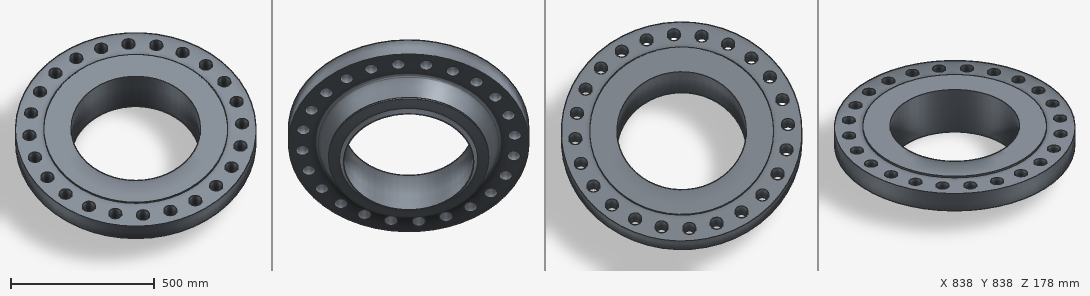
import cadquery as cq

total_height = 178.0
flange_diameter = 838.0
flange_thickness = 73.0
face_radius = 320.0
face_height = 7.0
bore_radius = 225.5

hole_count = 24
hole_diameter = 45.0
bolt_circle_radius = 371.0

hub_top_radius = 319.0
hub_root_fillet = 13.0
lip_radius = 279.0
lip_bottom = 19.0
lip_height = 7.5

bevel_radius = 240.5
bevel_height = 12.5
land_radius = 227.0

flange_top = total_height - face_height
flange_bottom = flange_top - flange_thickness


def revolve_about_z(points):
    """Revolve a closed (radius, height) outline around the Z axis."""
    outline = cq.Workplane("XZ").polyline(points).close()
    return outline.revolve(360, (0, 0, 0), (0, 1, 0))


body = revolve_about_z([
    (bore_radius, 0),
    (land_radius, 0),
    (bevel_radius, bevel_height),
    (lip_radius, lip_bottom),
    (lip_radius, lip_bottom + lip_height),
    (hub_top_radius, flange_bottom),
    (flange_diameter / 2, flange_bottom),
    (flange_diameter / 2, flange_top),
    (face_radius, flange_top),
    (face_radius, total_height),
    (bore_radius, total_height),
])

root_edge = body.edges("%CIRCLE").edges(cq.selectors.RadiusNthSelector(-3))
body = root_edge.fillet(hub_root_fillet)


bolt_holes = (
    cq.Workplane("XY")
    .workplane(offset=flange_bottom)
    .polarArray(bolt_circle_radius, 0, 360, hole_count)
    .circle(hole_diameter / 2)
    .extrude(flange_thickness)
)

result = body.cut(bolt_holes)